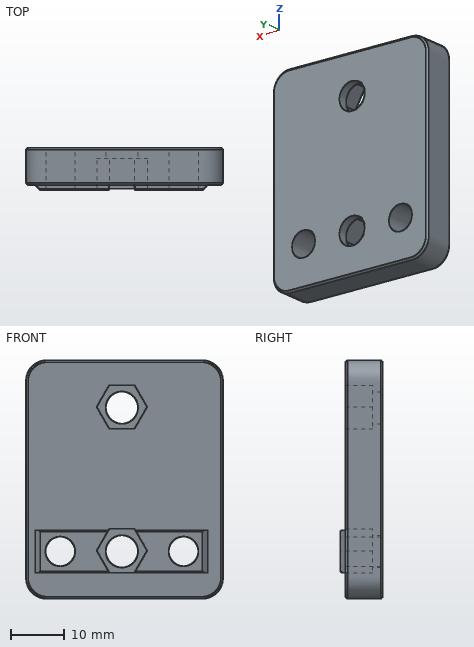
import cadquery as cq
import math

plate_width = 37.0
plate_height = 44.8
total_depth = 8.0
rail_rise = 1.0
plate_depth = total_depth - rail_rise
corner_radius = 4.0
plate_chamfer = 0.4

bolt_x = -0.5
bolt_z = 13.5
bolt_diameter = 6.0
nut_flats = 8.2
nut_corners = nut_flats / math.cos(math.pi / 6)
nut_depth = 5.0
nut_lift = 0.15

rail_x = -0.6
rail_length = 32.35
rail_height = 8.0
rail_edge_chamfer = 0.3
pin_diameter = 5.5
pin_offset = 11.55


def front_plane(y):
    """Plane at depth y: local x is +X, local y is +Z, normal is -Y."""
    return cq.Workplane("XZ", origin=(0, y, 0))


def make_plate():
    return (
        front_plane(plate_depth)
        .rect(plate_width, plate_height)
        .extrude(plate_depth)
        .edges("|Y")
        .fillet(corner_radius)
        .faces("<Y or >Y")
        .edges()
        .chamfer(plate_chamfer)
    )


def make_rail():
    """Bar whose ends slope at 45 degrees and whose long front edges are chamfered."""
    half_base = rail_length / 2
    half_top = half_base - rail_rise
    return (
        cq.Workplane("XY")
        .polyline([(-half_base, 0), (half_base, 0), (half_top, -rail_rise), (-half_top, -rail_rise)])
        .close()
        .extrude(rail_height / 2, both=True)
        .faces("<Y")
        .edges("|X")
        .chamfer(rail_edge_chamfer)
        .translate((rail_x, 0, -bolt_z))
    )


def make_holes(centres, diameter):
    return front_plane(plate_depth).pushPoints(centres).circle(diameter / 2).extrude(total_depth)


def make_nut_pockets(centres):
    """Hexagonal pockets measured in from the plate face, clearing the rail too."""
    return (
        front_plane(nut_depth)
        .pushPoints([(x, z + nut_lift) for x, z in centres])
        .polygon(6, nut_corners)
        .extrude(nut_depth + rail_rise)
    )


bolt_centres = [(bolt_x, bolt_z), (bolt_x, -bolt_z)]
pin_centres = [(bolt_x - pin_offset, -bolt_z), (bolt_x + pin_offset, -bolt_z)]

result = (
    make_plate()
    .union(make_rail())
    .cut(make_holes(bolt_centres, bolt_diameter))
    .cut(make_holes(pin_centres, pin_diameter))
    .cut(make_nut_pockets(bolt_centres))
)